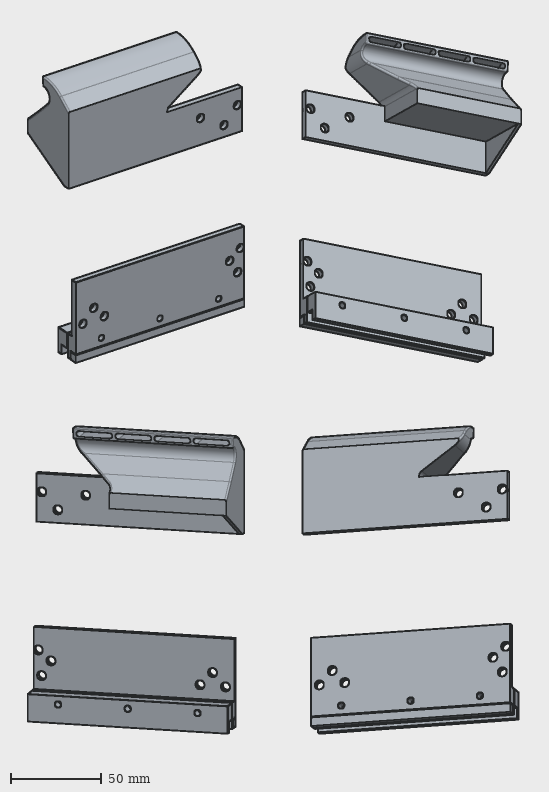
import cadquery as cq
import math

back_x = 39.0
plate_thickness = 4.0
plate_face_x = back_x - plate_thickness
screw_diameter = 4.8
edge_chamfer = 0.25
TINY = 0.01

handle_bottom = 111.0
handle_top = 170.95
handle_length = 118.3
end_cap_thickness = 2.0
front_bottom = 129.5
front_top = 138.5
edge_fillet = 1.0
nose_fillet = 0.5

top_arc_radius = 25.0
top_arc_x = 15.2
top_slope = math.radians(38.5)
top_arc_center = (top_arc_x, handle_top - top_arc_radius)
top_arc_end = (
    top_arc_center[0] + top_arc_radius * math.sin(top_slope),
    top_arc_center[1] + top_arc_radius * math.cos(top_slope),
)
back_z = top_arc_end[1] - (back_x - top_arc_end[0]) * math.tan(top_slope)

nose_top_x = 13.9
nose_bottom_x = 14.5
lip_z = 164.5
grip_radius = 5.1
grip_x = 15.1
crease_x = 9.45
crease_z = 146.9

hook_length = 91.8
front_length = 67.2
end_slope = math.radians(35)
end_upper_radius = 9.0
end_lower_radius = 4.0

slot_count = 4
slot_height = 3.2
slot_length = 20.6
slot_pitch = 22.4
slot_margin = 2.0
slot_z = 167.5
handle_screws = [(115.2, 128.2), (90.0, 127.8), (106.0, 118.5)]

rail_length = 115.0
rail_end_y = 119.9
rail_start_y = rail_end_y - rail_length
rail_mid_y = (rail_start_y + rail_end_y) / 2

gap = 0.5
bar_size = 4.75
plate_bottom = 0.5
plate_top = 51.0
base_top = 15.85
bar_groove_x = back_x - bar_size - gap
bar_groove_z = plate_bottom + bar_size + gap
lip_thickness = 2.5
base_x = bar_groove_x - lip_thickness

channel_width = 8.75
channel_x = base_x - gap - channel_width
channel_leg = 3.4
channel_recess_z = 6.0

bolt_diameter = 3.4
bolt_pitch = 40.0
bolt_z = 10.9
plate_screws = [(117.2, 38.1), (109.9, 32.3), (115.3, 23.6), (17.2, 31.3), (24.4, 23.9), (9.8, 23.6)]


def drill_along_x(body, places, diameter, near_x, far_x):
    """Drill holes along X at the (y, z) places, chamfered where they leave the two faces."""
    radius = diameter / 2
    mouth = radius + edge_chamfer
    profile = cq.Workplane("XY").polyline([
        (near_x, 0), (near_x, mouth), (near_x + edge_chamfer, radius),
        (far_x - edge_chamfer, radius), (far_x, mouth), (far_x, 0)]).close()
    drill = profile.revolve(360, (0, 0, 0), (1, 0, 0))
    for y, z in places:
        body = body.cut(drill.translate((0, y, z)))
    return body


def edges_within(low, high):
    """Selector for edges centred between two (x, z) corners, anywhere along Y."""
    return cq.selectors.BoxSelector(
        (low[0] - TINY, -TINY, low[1] - TINY), (high[0] + TINY, rail_end_y + TINY, high[1] + TINY))


def extrude_along_y(sketch, start_y, length):
    """Extrude an XZ outline from start_y towards +Y."""
    return sketch.extrude(-length).translate((0, start_y, 0))


def on_circle(center, radius, angle):
    """Point on a circle at an angle measured anticlockwise from the first axis."""
    return (center[0] + radius * math.cos(angle), center[1] + radius * math.sin(angle))


def hook_outline():
    """XZ outline of the hook: front face, creased slope, round grip, nose and rounded top."""
    arc_mid = on_circle(top_arc_center, top_arc_radius, math.pi / 2 - top_slope / 2)
    nose_drop = top_arc_radius - math.sqrt(top_arc_radius**2 - (top_arc_x - nose_top_x) ** 2)
    nose_top = (nose_top_x, handle_top - nose_drop)

    grip_center = (grip_x, lip_z - grip_radius)
    run = grip_center[0] - crease_x
    rise = grip_center[1] - crease_z
    slope = math.atan2(rise, run) - math.asin(grip_radius / math.hypot(run, rise))
    grip_start = on_circle(grip_center, grip_radius, slope - math.pi / 2)
    grip_mid = on_circle(grip_center, grip_radius, slope / 2)

    return (
        cq.Workplane("XZ")
        .moveTo(0, front_bottom)
        .lineTo(0, front_top)
        .lineTo(crease_x, crease_z)
        .lineTo(*grip_start)
        .threePointArc(grip_mid, (grip_x, lip_z))
        .lineTo(nose_bottom_x, lip_z)
        .lineTo(*nose_top)
        .threePointArc(arc_mid, top_arc_end)
        .lineTo(back_x, back_z)
        .lineTo(back_x, front_bottom)
        .close()
    )


def hook_side():
    """YZ outline whose far end sweeps in an S from the nose's length back to the shorter front."""
    turn = math.pi / 2 - end_slope
    lower_center = (front_length + end_lower_radius, front_top)
    lower_mid = on_circle(lower_center, end_lower_radius, math.pi - turn / 2)
    lower_end = on_circle(lower_center, end_lower_radius, math.pi - turn)

    upper_end_y = hook_length - end_upper_radius * (1 - math.cos(turn))
    upper_end_z = lower_end[1] + (upper_end_y - lower_end[0]) * math.tan(end_slope)
    upper_center = (hook_length - end_upper_radius, upper_end_z + end_upper_radius * math.sin(turn))
    upper_mid = on_circle(upper_center, end_upper_radius, -turn / 2)

    return (
        cq.Workplane("YZ")
        .moveTo(0, front_bottom)
        .lineTo(front_length, front_bottom)
        .lineTo(front_length, front_top)
        .threePointArc(lower_mid, lower_end)
        .lineTo(upper_end_y, upper_end_z)
        .threePointArc(upper_mid, (hook_length, upper_center[1]))
        .lineTo(hook_length, handle_top)
        .lineTo(0, handle_top)
        .close()
    )


def hook():
    """The hook with its end edges rounded along the slope, grip, nose and top."""
    body = extrude_along_y(hook_outline(), 0, hook_length)
    body = body.intersect(hook_side().extrude(back_x))
    nose = edges_within((nose_top_x, lip_z), (nose_bottom_x, handle_top))
    above_front = edges_within((2 * TINY, front_top + 2 * TINY), (back_x - 2 * TINY, handle_top))
    body = body.edges("not |Y").edges(above_front).edges(-nose).fillet(edge_fillet)
    return body.edges(nose).fillet(nose_fillet)


def end_cap():
    """Thin wedge that closes the handle's near end below the hook."""
    outline = cq.Workplane("XZ").polyline([
        (0, front_bottom), (back_x, front_bottom), (back_x, handle_bottom), (plate_face_x, handle_bottom)]).close()
    return extrude_along_y(outline, 0, end_cap_thickness)


def slots():
    """Slots in the nose, roofed by a wall of even thickness under the rounded top."""
    places = [(slot_margin + slot_length / 2 + i * slot_pitch, slot_z) for i in range(slot_count)]
    cutter = cq.Workplane("YZ").pushPoints(places).slot2D(slot_length, slot_height).extrude(back_x)
    roof_radius = top_arc_radius - (handle_top - slot_z - slot_height / 2)
    roof = cq.Workplane("XZ").center(*top_arc_center).circle(roof_radius)
    return cutter.intersect(extrude_along_y(roof, 0, hook_length))


def handle():
    plate_height = front_top - handle_bottom
    body = cq.Workplane("XY").box(plate_thickness, handle_length, plate_height, centered=False)
    body = body.translate((plate_face_x, 0, handle_bottom))
    body = body.union(hook()).union(end_cap()).cut(slots())
    return drill_along_x(body, handle_screws, screw_diameter, plate_face_x, back_x)


def bolt_places():
    return [(rail_mid_y + i * bolt_pitch, bolt_z) for i in (-1, 0, 1)]


def plate():
    """Upright plate on a thicker base, with a groove for the bar along its lower back edge."""
    outline = cq.Workplane("XZ").polyline([
        (base_x, plate_bottom), (bar_groove_x, plate_bottom), (bar_groove_x, bar_groove_z),
        (back_x, bar_groove_z), (back_x, plate_top), (plate_face_x, plate_top),
        (plate_face_x, base_top), (base_x, base_top)]).close()
    body = extrude_along_y(outline, rail_start_y, rail_length)
    face_edges = edges_within((plate_face_x, base_top), (plate_face_x, plate_top))
    groove_corner = edges_within((bar_groove_x, bar_groove_z), (bar_groove_x, bar_groove_z))
    body = body.edges(-face_edges).edges(-groove_corner).chamfer(edge_chamfer)
    body = drill_along_x(body, plate_screws, screw_diameter, plate_face_x, back_x)
    return drill_along_x(body, bolt_places(), bolt_diameter, base_x, back_x)


def channel():
    """Guard strip in front of the base, recessed underneath to leave a front leg."""
    right = channel_x + channel_width
    outline = cq.Workplane("XZ").polyline([
        (channel_x, 0), (channel_x + channel_leg, 0), (channel_x + channel_leg, channel_recess_z),
        (right, channel_recess_z), (right, base_top), (channel_x, base_top)]).close()
    body = extrude_along_y(outline, rail_start_y, rail_length)
    recess_corner = (channel_x + channel_leg, channel_recess_z)
    body = body.edges(-edges_within(recess_corner, recess_corner)).chamfer(edge_chamfer)
    return drill_along_x(body, bolt_places(), bolt_diameter, channel_x, right)


def bar():
    """Square bar lying in the plate's groove."""
    body = cq.Workplane("XY").box(bar_size, rail_length, bar_size, centered=False)
    return body.translate((back_x - bar_size, rail_start_y, plate_bottom))


result = cq.Compound.makeCompound([handle().val(), plate().val(), channel().val(), bar().val()])